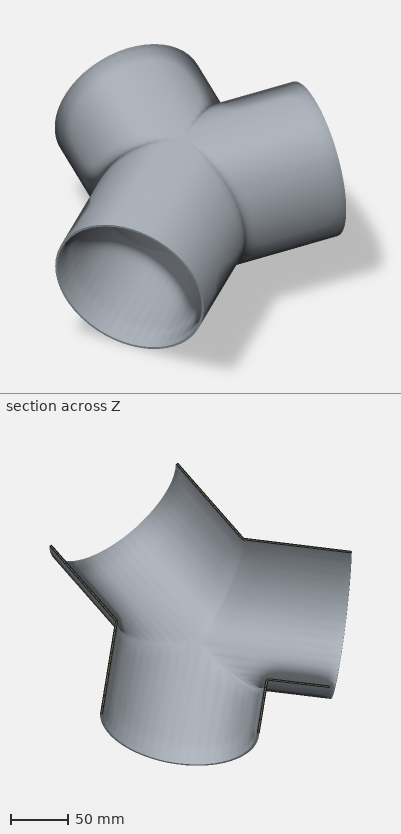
import cadquery as cq
import math

outer_diameter = 139.8
inner_diameter = 135.7
overall_width = 274.2
branch_angle = 45.0

wall = (outer_diameter - inner_diameter) / 2
outer_seam_radius = 1.5
bore_seam_radius = outer_seam_radius + wall

tilt = math.radians(branch_angle)
leg_length = (overall_width / 2 - outer_diameter / 2 * math.cos(tilt)) / math.sin(tilt)

leg_headings = (-90.0, 90.0 - branch_angle, 90.0 + branch_angle)


def leg_bar(heading, diameter):
    """Round bar from the junction out to the mouth of one leg."""
    angle = math.radians(heading)
    direction = cq.Vector(math.cos(angle), math.sin(angle), 0)
    bar = cq.Solid.makeCylinder(diameter / 2, leg_length, cq.Vector(0, 0, 0), direction)
    return cq.Workplane(bar)


def solid_wye(diameter, seam_radius):
    """Solid Y of three bars, with the mitred seams between them filleted."""
    first_heading, *other_headings = leg_headings
    wye = leg_bar(first_heading, diameter)
    for heading in other_headings:
        wye = wye.union(leg_bar(heading, diameter))
    seams = wye.edges("%ELLIPSE")
    return seams.fillet(seam_radius)


outer_body = solid_wye(outer_diameter, outer_seam_radius)
bore = solid_wye(inner_diameter, bore_seam_radius)
result = outer_body.cut(bore)